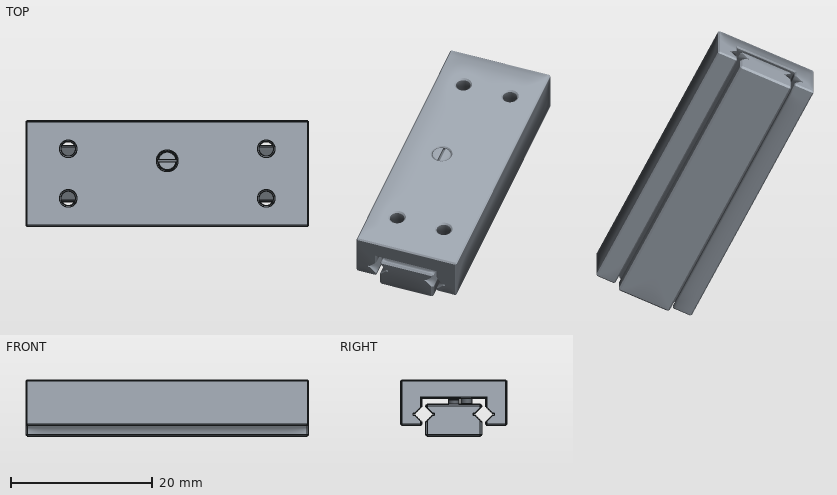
import cadquery as cq

length = 40.0
groove_height = 3.1
groove_half_opening = 1.1
relief_width = 0.25
groove_depth = 1.25

carriage_bevel = 0.2
carriage_width = 15.0
carriage_bottom = 1.5
carriage_top = 8.0
channel_width = 9.0
channel_top = 5.35
mount_spacing_x = 28.0
mount_spacing_y = 7.0
mount_diameter = 2.05
mount_mouth_diameter = 2.5

rail_width = 8.0
rail_top = 4.55
rail_bevel = 0.26

screw_y = 1.8
screw_diameter = 2.7
screw_bevel = 0.1
screw_mouth_diameter = 3.1
screw_recess = 0.1
screw_slot_width = 0.35
screw_slot_depth = 0.4
tip_diameter = 1.6
tip_bottom = 4.65

pin_diameter = 1.5
pin_top = 5.2
pin_depth = 2.0


def block(width, bottom, top):
    """Full-length block, centred on X and Y, between two heights."""
    base = cq.Workplane("XY", origin=(0, 0, bottom))
    return base.box(length, width, top - bottom, centered=(True, True, False))


def cylinder(diameter, bottom, top, x=0.0, y=0.0):
    """Upright cylinder between two heights."""
    return cq.Workplane("XY", origin=(x, y, bottom)).circle(diameter / 2).extrude(top - bottom)


def v_grooves(wall_y, direction):
    """V-grooves with a relief slot in both walls; direction +1 cuts away from the centre, -1 towards it."""
    half_relief = relief_width / 2
    points = [
        (0, groove_half_opening),
        (groove_half_opening - half_relief, half_relief),
        (groove_depth, half_relief),
        (groove_depth, -half_relief),
        (groove_half_opening - half_relief, -half_relief),
        (0, -groove_half_opening),
    ]
    outline = [(wall_y + direction * depth, groove_height + rise) for depth, rise in points]
    groove = cq.Workplane("YZ").polyline(outline).close().extrude(length / 2, both=True)
    return groove.union(groove.mirror("XZ"))


def bevelled_hole(x, y, diameter, mouth_diameter):
    """Cutter for a hole through the carriage roof with a 45 degree bevel at the top."""
    mouth_depth = (mouth_diameter - diameter) / 2
    mouth = (
        cq.Workplane("XY", origin=(x, y, carriage_top))
        .circle(mouth_diameter / 2)
        .workplane(offset=-mouth_depth)
        .circle(diameter / 2)
        .loft()
    )
    return cylinder(diameter, channel_top, carriage_top, x, y).union(mouth)


def make_carriage():
    channel = block(channel_width, carriage_bottom, channel_top)
    carriage = block(carriage_width, carriage_bottom, carriage_top).cut(channel)
    margin = carriage_bevel
    around_inside_corners = cq.selectors.BoxSelector(
        (-margin, -channel_width, channel_top - margin),
        (margin, channel_width, channel_top + margin),
    )
    outer_edges = cq.selectors.InverseSelector(around_inside_corners)
    carriage = carriage.edges(outer_edges).chamfer(carriage_bevel)
    carriage = carriage.cut(v_grooves(channel_width / 2, 1))
    for x in (-mount_spacing_x / 2, mount_spacing_x / 2):
        for y in (-mount_spacing_y / 2, mount_spacing_y / 2):
            carriage = carriage.cut(bevelled_hole(x, y, mount_diameter, mount_mouth_diameter))
    return carriage.cut(bevelled_hole(0, screw_y, screw_diameter, screw_mouth_diameter))


def make_rail():
    rail = block(rail_width, 0, rail_top).edges().chamfer(rail_bevel)
    rail = rail.cut(v_grooves(rail_width / 2, -1))
    return rail.cut(cylinder(pin_diameter, rail_top - pin_depth, rail_top))


def make_screw():
    """Slotted set screw with a plain cylindrical tip."""
    head = carriage_top - screw_recess
    thread = cylinder(screw_diameter, channel_top, head, y=screw_y).faces(">Z").chamfer(screw_bevel)
    tip = cylinder(tip_diameter, tip_bottom, channel_top, y=screw_y)
    slot = cq.Workplane("XY", origin=(0, screw_y, head - screw_slot_depth / 2)).box(
        screw_diameter, screw_slot_width, screw_slot_depth
    )
    return thread.union(tip).cut(slot)


def make_stop_pin():
    return cylinder(pin_diameter, rail_top - pin_depth, pin_top)


carriage = make_carriage()
rail = make_rail()
screw = make_screw()
stop_pin = make_stop_pin()

result = cq.Compound.makeCompound([carriage.val(), rail.val(), screw.val(), stop_pin.val()])